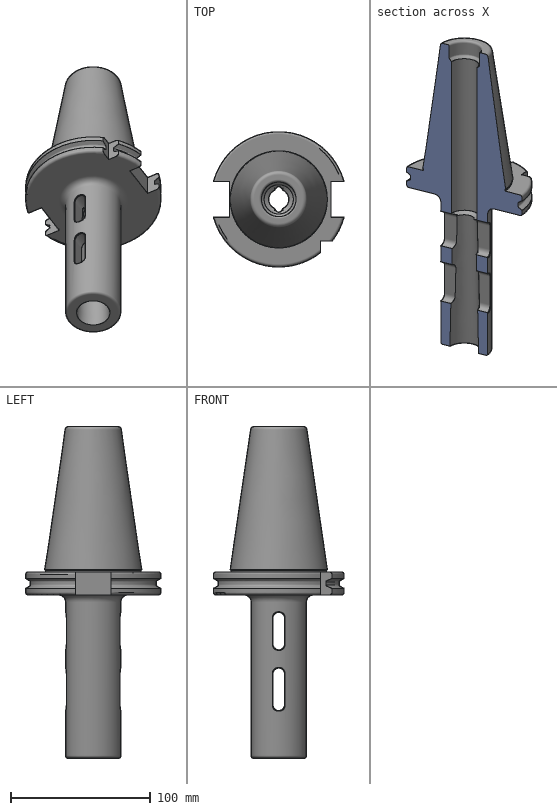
import cadquery as cq
import math

total_length = 238.8
gauge_z = 135.8
flange_top_z = 134.2
flange_bottom_z = 117.5

gauge_diameter = 70.0
cone_taper = 7 / 24
cone_end_radius = (gauge_diameter - cone_taper * (total_length - gauge_z)) / 2
cone_end_rounding = 2.9
undercut_depth = 0.5
undercut_bevel_height = 0.7

flange_diameter = 97.5
flange_radius = flange_diameter / 2
flange_rounding = 2.0
groove_depth = 3.3
groove_floor_width = 3.3
groove_flank_angle = 30
groove_corner_rounding = 1.0
groove_z = 125.8

drive_slot_width = 25.5
drive_slot_left_floor = 35.5
drive_slot_right_floor = 37.7
notch_offset = 30.0

shank_diameter = 39.9
shank_radius = shank_diameter / 2
shank_end_rounding = 2.0
neck_fillet = 5.0

socket_mouth_radius = 12.0
socket_taper = 1 / 20
socket_depth = 103.9
socket_end_radius = socket_mouth_radius - socket_taper * socket_depth / 2

pilot_radius = 12.5
pilot_depth = 11.0
mouth_rounding = 1.7
core_radius = 10.5
drill_tip_z = 99.5
drill_tip_angle = 118
pilot_corner_rounding = 1.0

cross_slot_width = 8.4
cross_slot_spans = ((78.0, 105.0), (34.4, 65.0))
cross_slot_edge_break = 0.5

quarter_arc_mid = math.sqrt(0.5)


def solid_of_revolution(profile):
    """Turn a closed (radius, z) outline drawn on XZ about the Z axis."""
    return profile.close().revolve(360, (0, 0, 0), (0, 1, 0))


def make_shank():
    """Plain cylinder with rounded end and a fillet flaring into the flange."""
    arc_mid = neck_fillet * quarter_arc_mid
    profile = (
        cq.Workplane("XZ")
        .lineTo(shank_radius, 0)
        .lineTo(shank_radius, flange_bottom_z - neck_fillet)
        .threePointArc(
            (shank_radius + neck_fillet - arc_mid, flange_bottom_z - neck_fillet + arc_mid),
            (shank_radius + neck_fillet, flange_bottom_z),
        )
        .lineTo(0, flange_bottom_z)
    )
    return solid_of_revolution(profile).faces("<Z").edges().fillet(shank_end_rounding)


def make_cone():
    """Spindle cone with a rounded small end and a relief where it meets the flange."""
    undercut_radius = gauge_diameter / 2 - undercut_depth
    profile = (
        cq.Workplane("XZ")
        .moveTo(0, flange_bottom_z)
        .lineTo(undercut_radius, flange_bottom_z)
        .lineTo(undercut_radius, gauge_z - undercut_bevel_height)
        .lineTo(gauge_diameter / 2, gauge_z)
        .lineTo(cone_end_radius, total_length)
        .lineTo(0, total_length)
    )
    return solid_of_revolution(profile).faces(">Z").edges().fillet(cone_end_rounding)


def make_flange():
    """Disc with rounded rims and a gripper groove."""
    height = flange_top_z - flange_bottom_z
    disc = cq.Workplane("XY", origin=(0, 0, flange_bottom_z)).circle(flange_radius).extrude(height)
    disc = disc.faces("<Z or >Z").edges().fillet(flange_rounding)

    floor_half = groove_floor_width / 2
    mouth_half = floor_half + groove_depth * math.tan(math.radians(groove_flank_angle))
    floor_radius = flange_radius - groove_depth
    groove = solid_of_revolution(
        cq.Workplane("XZ")
        .moveTo(flange_radius, groove_z - mouth_half)
        .lineTo(floor_radius, groove_z - floor_half)
        .lineTo(floor_radius, groove_z + floor_half)
        .lineTo(flange_radius, groove_z + mouth_half)
    )
    floor_corners = cq.selectors.RadiusNthSelector(0)
    return disc.cut(groove.edges(floor_corners).fillet(groove_corner_rounding))


def flange_cutter(center_x, center_y, width_y):
    """Block as tall as the flange, one flange radius long in X."""
    return (
        cq.Workplane("XY", origin=(center_x, center_y, flange_bottom_z))
        .rect(flange_radius, width_y)
        .extrude(flange_top_z - flange_bottom_z)
    )


def cut_flange_openings(body):
    """Two drive slots of unequal depth and the square corner notch."""
    half_block = flange_radius / 2
    corner = notch_offset + half_block
    body = body.cut(flange_cutter(-drive_slot_left_floor - half_block, 0, drive_slot_width))
    body = body.cut(flange_cutter(drive_slot_right_floor + half_block, 0, drive_slot_width))
    return body.cut(flange_cutter(corner, -corner, flange_radius))


def make_socket():
    """Morse taper bore from the bottom face."""
    return solid_of_revolution(
        cq.Workplane("XZ")
        .lineTo(socket_mouth_radius, 0)
        .lineTo(socket_end_radius, socket_depth)
        .lineTo(0, socket_depth)
    )


def make_drawbar_bore():
    """Pilot bore with rounded mouth, 45 degree shoulder, core hole and drill tip."""
    pilot_end_z = total_length - pilot_depth
    shoulder_end_z = pilot_end_z - (pilot_radius - core_radius)
    tip_length = core_radius / math.tan(math.radians(drill_tip_angle / 2))
    mouth_radius = pilot_radius + mouth_rounding
    arc_mid = mouth_rounding * quarter_arc_mid
    bore = solid_of_revolution(
        cq.Workplane("XZ")
        .moveTo(0, drill_tip_z)
        .lineTo(core_radius, drill_tip_z + tip_length)
        .lineTo(core_radius, shoulder_end_z)
        .lineTo(pilot_radius, pilot_end_z)
        .lineTo(pilot_radius, total_length - mouth_rounding)
        .threePointArc(
            (mouth_radius - arc_mid, total_length - mouth_rounding + arc_mid),
            (mouth_radius, total_length),
        )
        .lineTo(0, total_length)
    )
    pilot_corner = cq.selectors.NearestToPointSelector((0, 0, pilot_end_z))
    return bore.edges("%CIRCLE").edges(pilot_corner).fillet(pilot_corner_rounding)


def cut_cross_slots(shank):
    """Round-ended slots right through along Y, with broken outer edges."""
    for bottom, top in cross_slot_spans:
        slot = (
            cq.Workplane("XZ")
            .center(0, (bottom + top) / 2)
            .slot2D(top - bottom, cross_slot_width, 90)
            .extrude(2 * shank_radius, both=True)
        )
        shank = shank.cut(slot)
        around = cq.selectors.BoxSelector(
            (-cross_slot_width, -2 * shank_radius, bottom - cross_slot_width),
            (cross_slot_width, 2 * shank_radius, top + cross_slot_width),
            boundingbox=True,
        )
        shank = shank.edges(around).edges("not |Y").chamfer(cross_slot_edge_break)
    return shank


shank = cut_cross_slots(make_shank())
result = shank.union(make_flange()).union(make_cone())
result = cut_flange_openings(result)
result = result.cut(make_socket()).cut(make_drawbar_bore())